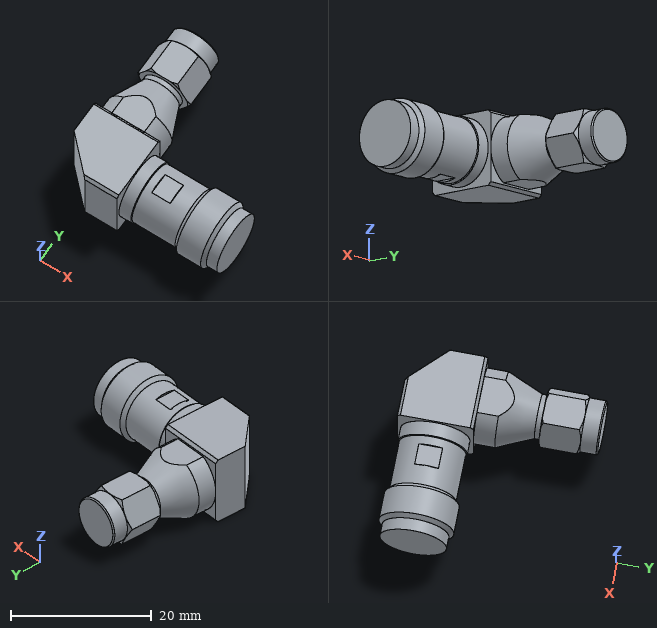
import cadquery as cq
import math


overall_length = 27.55
overall_width = 28.65

block_size = 11.0
block_half = block_size / 2
block_chamfer = 0.45

arm_radius = block_half
taper_start = 8.6
taper_end = 13.87
neck_radius = 3.25
arm_flat_height = 4.75

collar_radius = 5.0
collar_end = 7.53

nut_start = 14.67
hex_end = 20.6
nut_end = overall_width - block_half
hex_across_flats = 7.9
hex_corner_radius = hex_across_flats / math.sqrt(3)
hex_rear_face_radius = 4.13
hex_rear_bevel = 0.3
hex_front_bevel = 0.4
nut_ring_radius = 3.93
nut_ring_chamfer = 0.2

spigot_radius = 4.0
barrel_start = 7.62
barrel_radius = 4.85
rim_radius = 5.45
jack_end = overall_length - block_half
rim_start = 15.55
rim_end = 19.68
rim_bevel = rim_radius - barrel_radius
wrench_flat_start = 8.9
wrench_flat_end = 12.03
wrench_flat_height = 4.53


def cylinder_y(radius, start, end):
    """Cylinder on the Y axis between two Y positions."""
    return cq.Workplane("XZ", origin=(0, start, 0)).circle(radius).extrude(start - end)


def cylinder_x(radius, start, end):
    """Cylinder on the X axis between two X positions."""
    return cq.Workplane("YZ", origin=(start, 0, 0)).circle(radius).extrude(end - start)


def revolve_about_y(points):
    """Solid turned about the Y axis from (radius, y) points."""
    return cq.Workplane("XY").polyline(points).close().revolve(360, (0, 0), (0, 1))


def revolve_about_x(points):
    """Solid turned about the X axis from (x, radius) points."""
    return cq.Workplane("XY").polyline(points).close().revolve(360, (0, 0), (1, 0))


def make_block():
    """Cube with bevelled edges on its Y faces and its outer corner cut off."""
    block = cq.Workplane("XY").box(block_size, block_size, block_size)
    block = block.edges("|X").chamfer(block_chamfer)
    corner = (
        cq.Workplane("XY")
        .polyline([(-block_half, 0), (-block_half, -block_half), (0, -block_half)])
        .close()
        .extrude(block_half, both=True)
    )
    return block.cut(corner)


def make_plug_arm():
    """Tapered arm with a neck at its end and flats above and below."""
    arm = revolve_about_y([
        (0, block_half),
        (arm_radius, block_half),
        (arm_radius, taper_start),
        (neck_radius, taper_end),
        (neck_radius, nut_start),
        (0, nut_start),
    ])
    arm_length = nut_start - block_half
    between_flats = cq.Workplane("XY").box(2 * arm_radius, arm_length, 2 * arm_flat_height)
    return arm.intersect(between_flats.translate((0, block_half + arm_length / 2, 0)))


def make_elbow():
    """Block, plug arm and jack collar in one piece."""
    collar = cylinder_x(collar_radius, block_half, collar_end)
    return make_block().union(make_plug_arm()).union(collar)


def make_coupling_nut():
    """Hexagon with bevelled corners and a round ring at its front."""
    hexagon = (
        cq.Workplane("XZ", origin=(0, nut_start, 0))
        .polygon(6, 2 * hex_corner_radius)
        .extrude(nut_start - hex_end)
    )
    bevel_envelope = revolve_about_y([
        (0, nut_start),
        (hex_rear_face_radius, nut_start),
        (hex_corner_radius, nut_start + hex_rear_bevel),
        (hex_corner_radius, hex_end - hex_front_bevel),
        (nut_ring_radius, hex_end),
        (0, hex_end),
    ])
    ring = cylinder_y(nut_ring_radius, hex_end, nut_end).faces(">Y").chamfer(nut_ring_chamfer)
    return hexagon.intersect(bevel_envelope).union(ring)


def make_jack():
    """Barrel with a bevelled rim and two wrench flats, set off from the collar by a thin spigot."""
    jack = revolve_about_x([
        (collar_end, 0),
        (collar_end, spigot_radius),
        (barrel_start, spigot_radius),
        (barrel_start, barrel_radius),
        (rim_start - rim_bevel, barrel_radius),
        (rim_start, rim_radius),
        (rim_end, rim_radius),
        (rim_end + rim_bevel, barrel_radius),
        (jack_end, barrel_radius),
        (jack_end, 0),
    ])
    flat_length = wrench_flat_end - wrench_flat_start
    flat_depth = barrel_radius - wrench_flat_height
    cutter = cq.Workplane("XY").box(flat_length, 2 * barrel_radius, flat_depth)
    for side in (1, -1):
        center_x = wrench_flat_start + flat_length / 2
        center_z = side * (wrench_flat_height + flat_depth / 2)
        jack = jack.cut(cutter.translate((center_x, 0, center_z)))
    return jack


elbow = make_elbow()
coupling_nut = make_coupling_nut()
jack = make_jack()

result = cq.Compound.makeCompound([elbow.val(), coupling_nut.val(), jack.val()])